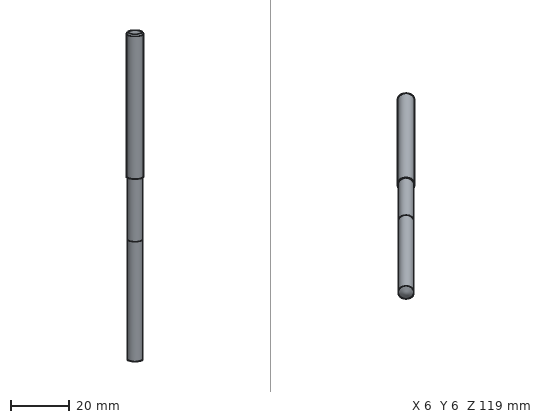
import cadquery as cq
import math

total_length = 119.0
shank_diameter = 6.0
shank_length = 52.1
shank_chamfer = 0.6

cutting_diameter = 5.5
cutting_length = 44.3
point_angle = 140.0

shank_radius = shank_diameter / 2
cutting_radius = cutting_diameter / 2
point_height = cutting_radius / math.tan(math.radians(point_angle / 2))
shank_start = total_length - shank_length


def revolve_profile(points):
    """Revolve a closed (radius, height) outline fully around the Z axis."""
    outline = cq.Workplane("XZ").polyline(points).close()
    return outline.revolve(360, (0, 0, 0), (0, 1, 0))


def make_cutting_end():
    """Lower cylinder with a conical drill point."""
    return revolve_profile([
        (0, 0),
        (cutting_radius, point_height),
        (cutting_radius, cutting_length),
        (0, cutting_length),
    ])


def make_shank():
    """Neck stepping out to the clamping shank, chamfered at its top end."""
    neck = cq.Workplane("XY").workplane(offset=cutting_length)
    neck = neck.circle(cutting_radius).extrude(shank_start - cutting_length)
    grip = cq.Workplane("XY").workplane(offset=shank_start)
    grip = grip.circle(shank_radius).extrude(shank_length)
    grip = grip.faces(">Z").chamfer(shank_chamfer)
    return neck.union(grip)


cutting_end = make_cutting_end()
shank = make_shank()

result = cq.Compound.makeCompound([cutting_end.val(), shank.val()])